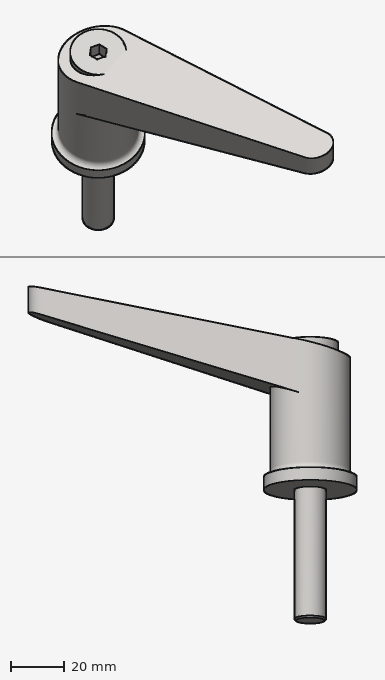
import cadquery as cq
import math


stud_diameter = 12.0
stud_length = 50.1
stud_chamfer = 0.7

hub_radius = 15.0
flange_diameter = 35.0
flange_radius = flange_diameter / 2
flange_height = 4.9
flange_top = stud_length + flange_height
foot_fillet = flange_radius - hub_radius

total_height = 132.8
total_length = 125.5
tip_x = total_length - flange_radius
tip_radius = 7.0
tip_thickness = 9.7
top_angle = 14.7
underside_angle = 19.9

cap_radius = 10.5
cap_top = 106.5
socket_across_flats = 6.0
socket_corner_radius = socket_across_flats / math.sqrt(3)
socket_depth = 6.0
drill_point_angle = 118.0


def arm_top_at(x):
    """Height of the sloping top face at distance x from the stud axis."""
    return total_height - (tip_x - x) * math.tan(math.radians(top_angle))


def arm_underside_at(x):
    """Height of the sloping underside at distance x from the stud axis."""
    tip_underside = total_height - tip_thickness
    return tip_underside - (tip_x - x) * math.tan(math.radians(underside_angle))


def make_stud():
    stud = cq.Workplane("XY").circle(stud_diameter / 2).extrude(stud_length)
    return stud.faces("<Z").chamfer(stud_chamfer)


def make_hub():
    """Turned hub whose foot sweeps out to the flange rim, cut by the slope of the arm top."""
    arc_offset = foot_fillet * (1 - math.sqrt(0.5))
    body = (
        cq.Workplane("XZ")
        .moveTo(0, stud_length)
        .lineTo(flange_radius, stud_length)
        .lineTo(flange_radius, flange_top)
        .threePointArc(
            (hub_radius + arc_offset, flange_top + arc_offset),
            (hub_radius, flange_top + foot_fillet),
        )
        .lineTo(hub_radius, total_height)
        .lineTo(0, total_height)
        .close()
        .revolve(360, (0, 0, 0), (0, 1, 0))
    )
    below_slope = (
        cq.Workplane("XZ")
        .polyline([
            (-flange_radius, 0),
            (flange_radius, 0),
            (flange_radius, arm_top_at(flange_radius)),
            (-flange_radius, arm_top_at(-flange_radius)),
        ])
        .close()
        .extrude(flange_radius, both=True)
    )
    return body.intersect(below_slope)


def make_arm():
    """Wedge between the two slopes, trimmed to a plan tangent to the hub and the rounded tip."""
    tip_center = tip_x - tip_radius
    tangent_cos = (hub_radius - tip_radius) / tip_center
    tangent_sin = math.sqrt(1 - tangent_cos**2)
    hub_x = hub_radius * tangent_cos
    hub_y = hub_radius * tangent_sin
    end_x = tip_center + tip_radius * tangent_cos
    end_y = tip_radius * tangent_sin
    plan = (
        cq.Workplane("XY")
        .moveTo(hub_x, -hub_y)
        .lineTo(end_x, -end_y)
        .threePointArc((tip_x, 0), (end_x, end_y))
        .lineTo(hub_x, hub_y)
        .close()
        .extrude(total_height)
    )
    wedge = (
        cq.Workplane("XZ")
        .polyline([
            (0, arm_underside_at(0)),
            (tip_x, arm_underside_at(tip_x)),
            (tip_x, arm_top_at(tip_x)),
            (0, arm_top_at(0)),
        ])
        .close()
        .extrude(hub_radius, both=True)
    )
    return plan.intersect(wedge)


def make_cap():
    """Flat-topped screw cap that sinks into the rising arm."""
    cap_base = arm_top_at(-hub_radius)
    cap = cq.Workplane("XY").workplane(offset=cap_base).circle(cap_radius)
    return cap.extrude(cap_top - cap_base)


def make_socket():
    """Hexagonal recess with corners on the X axis and a conical drill-point bottom."""
    point_depth = socket_corner_radius / math.tan(math.radians(drill_point_angle / 2))
    full_depth = socket_depth + point_depth
    hexagon = (
        cq.Workplane("XY")
        .workplane(offset=cap_top - full_depth)
        .polygon(6, 2 * socket_corner_radius)
        .extrude(full_depth)
    )
    drill = (
        cq.Workplane("XZ")
        .polyline([
            (0, cap_top - full_depth),
            (socket_corner_radius, cap_top - socket_depth),
            (socket_corner_radius, cap_top),
            (0, cap_top),
        ])
        .close()
        .revolve(360, (0, 0, 0), (0, 1, 0))
    )
    return hexagon.intersect(drill)


result = make_hub().union(make_stud()).union(make_arm()).union(make_cap()).cut(make_socket())